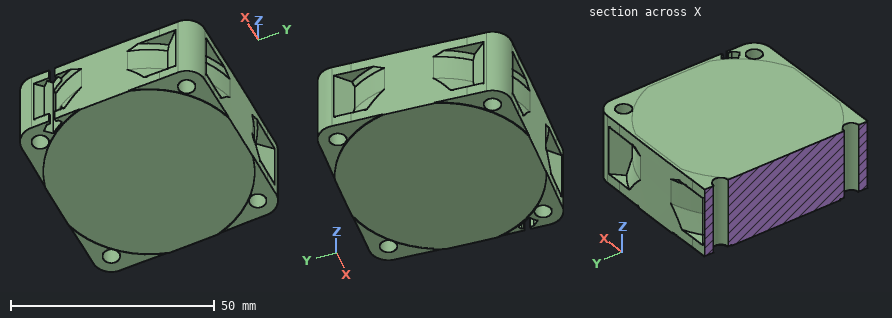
import cadquery as cq
import math

half_side = 25.0
height = 20.0
corner_radius = 5.0
bulge_half_length = 15.0
bulge = 0.145

hole_offset = 20.0
hole_diameter = 4.3

lid_radius = 26.0
lid_half_width = 24.2
lid_thickness = 1.0

pad_radius = 26.0
pad_height = 0.25

pocket_bottom = 3.0
pocket_top = 17.0
core_radius = 25.9
core_foot_radius = 27.3
core_foot_top = 8.4
core_head_radius = 26.7
core_head_bottom = 15.6
pocket_end_offset = 19.4
rib_thickness = math.sqrt(2) * (half_side - pocket_end_offset)

channel_wall_radius = 26.4
channel_inner_x = 21.05
channel_upper_x = 23.2
channel_lip_x = 24.2
channel_corner = (22.75, -17.65)
channel_upper_lip_y = -13.05
channel_upper_mid = (23.75, -12.7)
channel_gap_bottom = -15.2
channel_gap_top = -13.65

overrun = 5.0


def make_outline(bottom, thickness):
    """Housing outline extruded upward from the given height."""
    end = bulge_half_length
    crown = half_side + bulge
    straight = half_side - corner_radius
    corner_mid = straight + corner_radius / math.sqrt(2)
    outline = cq.Workplane("XY").workplane(offset=bottom).moveTo(-straight, -half_side)
    for turn in range(4):
        angle = math.radians(90 * turn)

        def turned(x, y):
            return (
                x * math.cos(angle) - y * math.sin(angle),
                x * math.sin(angle) + y * math.cos(angle),
            )

        outline = (
            outline.lineTo(*turned(-end, -half_side))
            .threePointArc(turned(0, -crown), turned(end, -half_side))
            .lineTo(*turned(straight, -half_side))
            .threePointArc(turned(corner_mid, -corner_mid), turned(half_side, -straight))
        )
    return outline.close().extrude(thickness)


def make_pad():
    """Shallow round pad under the housing, trimmed to the housing outline."""
    disc = cq.Workplane("XY").workplane(offset=-pad_height).circle(pad_radius).extrude(pad_height)
    return disc.intersect(make_outline(-pad_height, pad_height))


def make_lid():
    """Flush lid: a disc trimmed by four flats."""
    bottom = height - lid_thickness
    width = 2 * lid_half_width
    disc = cq.Workplane("XY").workplane(offset=bottom).circle(lid_radius).extrude(lid_thickness)
    square = cq.Workplane("XY").workplane(offset=bottom).rect(width, width).extrude(lid_thickness)
    return disc.intersect(square)


def make_core():
    """Round core that flares out at the foot and at the head."""
    profile = [
        (0, pocket_bottom),
        (core_foot_radius, pocket_bottom),
        (core_radius, core_foot_top),
        (core_radius, core_head_bottom),
        (core_head_radius, pocket_top),
        (0, pocket_top),
    ]
    return cq.Workplane("XZ").polyline(profile).close().revolve(360, (0, 0, 0), (0, 1, 0))


def make_pockets():
    """All eight side pockets as one cutter."""
    width = 2 * (half_side + overrun)
    rib_length = 2 * width
    depth = pocket_top - pocket_bottom
    level = cq.Workplane("XY").workplane(offset=pocket_bottom)
    pockets = level.rect(width, width).extrude(depth).cut(make_core())
    rib = level.rect(rib_length, rib_thickness).extrude(depth)
    for angle in (45, -45):
        pockets = pockets.cut(rib.rotate((0, 0, 0), (0, 0, 1), angle))
    return pockets


def make_channel():
    """Cable channel through the full height, with its entry gap in the +X side."""

    def on_wall(angle):
        return (channel_wall_radius * math.cos(angle), channel_wall_radius * math.sin(angle))

    inner_angle = -math.acos(channel_inner_x / channel_wall_radius)
    upper_angle = -math.acos(channel_upper_x / channel_wall_radius)
    corner_x, corner_y = channel_corner
    lower_lip_y = corner_y + (channel_lip_x - corner_x)
    outside_x = half_side + overrun
    return (
        cq.Workplane("XY")
        .workplane(offset=-overrun)
        .moveTo(*on_wall(upper_angle))
        .threePointArc(on_wall((inner_angle + upper_angle) / 2), on_wall(inner_angle))
        .lineTo(corner_x, corner_y)
        .lineTo(channel_lip_x, lower_lip_y)
        .lineTo(channel_lip_x, channel_gap_bottom)
        .lineTo(outside_x, channel_gap_bottom)
        .lineTo(outside_x, channel_gap_top)
        .lineTo(channel_lip_x, channel_gap_top)
        .lineTo(channel_lip_x, channel_upper_lip_y)
        .threePointArc(channel_upper_mid, on_wall(upper_angle))
        .close()
        .extrude(height + 2 * overrun)
    )


def make_screw_holes():
    """Four through holes on a square pattern."""
    spacing = 2 * hole_offset
    return (
        cq.Workplane("XY")
        .workplane(offset=-overrun)
        .rarray(spacing, spacing, 2, 2)
        .circle(hole_diameter / 2)
        .extrude(height + 2 * overrun)
    )


lid = make_lid()
housing = make_outline(0, height).union(make_pad())
housing = housing.cut(make_pockets()).cut(make_channel()).cut(make_screw_holes())

result = housing.cut(lid).union(lid, clean=False)